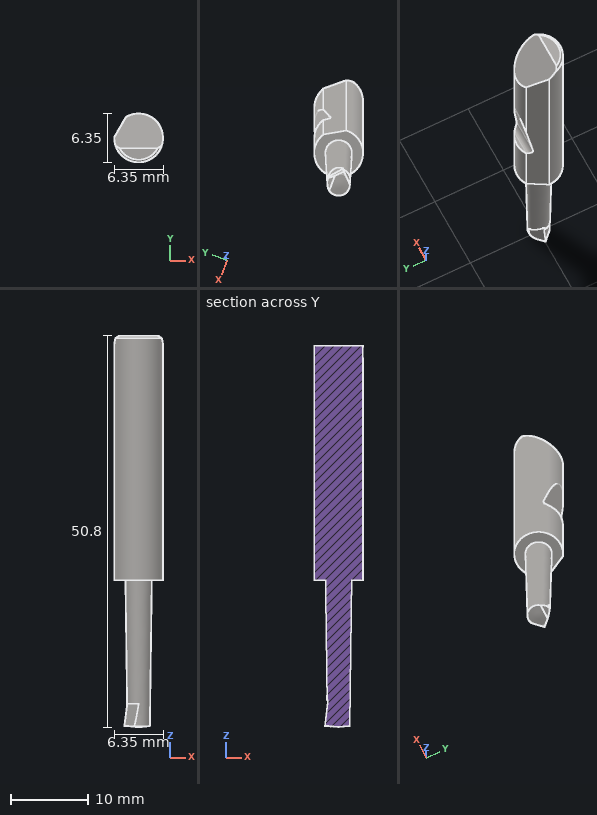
import cadquery as cq
import math

total_length = 50.8
shank_radius = 3.175
shank_bottom = 19.05

end_chamfer = 0.35
bevel_start_y = -1.3
flat_angle = 150.0
flat_distance = 2.8
notch_floor_y = 1.8
notch_bottom = 27.8
notch_top = 37.1
notch_fillet = 0.75

neck_top_radius = 1.75
neck_end_radius = 1.45
neck_end_z = 0.15

rake_angle = 225.0
rake_bottom_distance = 1.35
rake_top_distance = 1.05
flank_angle = 135.0
flank_bottom_distance = 1.295
flank_top_distance = 1.04
tip_height = 3.05
ledge_height = 3.2
ledge_rise_outward = 1.0
ledge_rise_toward_rake = 0.7
heel_width = 0.6
heel_height = 1.25

clearance = 0.5


def polar_point(distance, angle, z):
    """Point at a distance from the Z axis, in the direction of the angle in degrees."""
    return cq.Vector(
        distance * math.cos(math.radians(angle)),
        distance * math.sin(math.radians(angle)),
        z,
    )


def beyond_plane(point, normal):
    """Block covering the side of a plane that its normal points to."""
    block_side = 2 * total_length
    plane = cq.Plane(origin=point, normal=normal)
    return cq.Workplane(plane).rect(block_side, block_side).extrude(block_side)


def beyond_leaning_face(angle, bottom_distance, top_distance):
    """Everything outside a flat tip face that leans outward toward the bottom."""
    lean = (bottom_distance - top_distance) / tip_height
    normal = polar_point(1, angle, lean)
    return beyond_plane(polar_point(bottom_distance, angle, 0), normal)


def make_shank():
    shank = (
        cq.Workplane("XY", origin=(0, 0, shank_bottom))
        .circle(shank_radius)
        .extrude(total_length - shank_bottom)
        .faces(">Z")
        .chamfer(end_chamfer)
    )
    bevel = beyond_plane((0, bevel_start_y, total_length), (0, 1, 1))
    flat = beyond_plane(
        polar_point(flat_distance, flat_angle, 0),
        polar_point(1, flat_angle, 0),
    )
    return shank.cut(bevel).cut(flat).cut(make_notch())


def make_notch():
    """Clamping notch across X: sloping floor that ends in a filleted step."""
    outer_y = shank_radius + clearance
    notch = (
        cq.Workplane("YZ")
        .moveTo(notch_floor_y, notch_bottom)
        .lineTo(outer_y, notch_bottom)
        .lineTo(outer_y, notch_top)
        .lineTo(shank_radius, notch_top)
        .close()
        .extrude(shank_radius + clearance, both=True)
    )
    return notch.edges("|X").edges("<Y").fillet(notch_fillet)


def make_neck():
    return (
        cq.Workplane("XZ")
        .lineTo(neck_end_radius, neck_end_z)
        .lineTo(neck_top_radius, shank_bottom)
        .lineTo(0, shank_bottom)
        .close()
        .revolve(360, (0, 0), (0, 1))
    )


def make_tip_stock():
    """Square block with one corner on the axis and the opposite one toward -X."""
    return (
        cq.Workplane("XY", origin=(0, 0, neck_end_z))
        .rect(neck_end_radius, neck_end_radius, centered=False)
        .extrude(tip_height - neck_end_z)
        .rotate((0, 0, 0), (0, 0, 1), flank_angle)
    )


def make_rake_cut():
    outside = beyond_leaning_face(rake_angle, rake_bottom_distance, rake_top_distance)
    return outside.intersect(beyond_plane((0, 0, tip_height), (0, 0, -1)))


def make_flank_cut():
    outside = beyond_leaning_face(flank_angle, flank_bottom_distance, flank_top_distance)
    rise = polar_point(ledge_rise_outward, flank_angle, 0)
    rise += polar_point(ledge_rise_toward_rake, rake_angle, 0)
    ledge_normal = cq.Vector(rise.x, rise.y, -1)
    ledge_point = polar_point(neck_end_radius, flank_angle, ledge_height)
    return outside.intersect(beyond_plane(ledge_point, ledge_normal))


def make_heel_cut():
    """Rounded relief along X at the bottom of the tip's +Y side."""
    outer_y = neck_end_radius + clearance
    inner_y = neck_end_radius - heel_width
    arc_middle = (
        inner_y + heel_width * math.sin(math.pi / 4),
        neck_end_z + heel_height * (1 - math.cos(math.pi / 4)),
    )
    return (
        cq.Workplane("YZ")
        .moveTo(inner_y, neck_end_z)
        .threePointArc(arc_middle, (neck_end_radius, neck_end_z + heel_height))
        .lineTo(outer_y, neck_end_z + heel_height)
        .lineTo(outer_y, -clearance)
        .lineTo(inner_y, -clearance)
        .close()
        .extrude(shank_radius, both=True)
    )


tool_end = make_neck().union(make_tip_stock())
tool_end = tool_end.cut(make_rake_cut()).cut(make_flank_cut()).cut(make_heel_cut())
result = make_shank().union(tool_end)